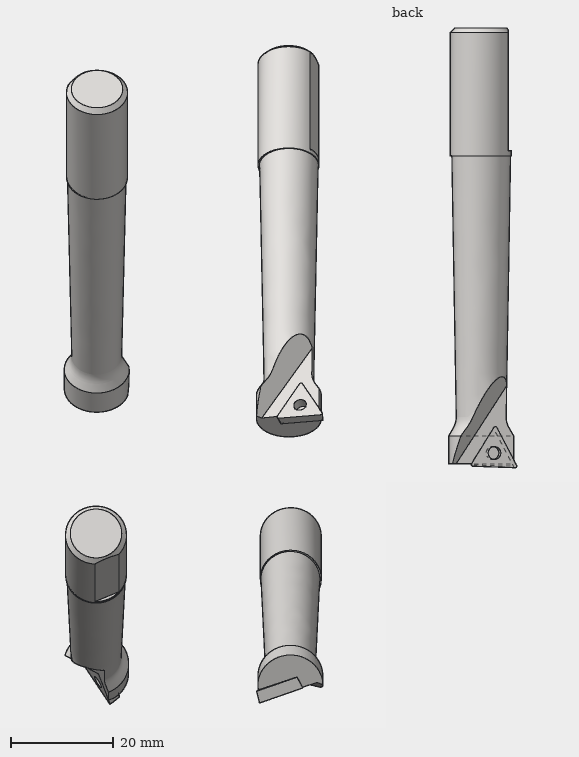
import cadquery as cq
import math

total_height = 86.05
shank_radius = 12.0 / 2
shank_bottom = 61.0
shank_chamfer = 0.95
flat_offset = 5.4
flat_bottom = 62.0

head_offset = -0.1
neck_top_radius = 5.8
neck_bottom_radius = 4.9
neck_bottom = 9.9
flare_height = 2.1
flare_angle = math.radians(30)
head_radius = 6.4
head_bottom = 0.8

tip_x = -7.05
wall_angle = math.radians(9.5)
floor_direction = math.radians(144)
floor_slope = 0.46
floor_axis_height = 6.7
cutter_size = 68.8

insert_inscribed_radius = 2.75
insert_thickness = 2.4
insert_nose_radius = 0.35
insert_clearance = 7.0
insert_hole_diameter = 2.5
insert_lead = 2.0

rake_plane = cq.Plane(
    origin=(tip_x, 0, 0),
    xDir=(math.cos(wall_angle), math.sin(wall_angle), 0),
    normal=(math.sin(wall_angle), -math.cos(wall_angle), 0),
)

nose_distance = 2 * (insert_inscribed_radius - insert_nose_radius)
tip_direction = math.radians(30 + insert_lead)
insert_center = (
    insert_nose_radius + nose_distance * math.cos(tip_direction),
    insert_nose_radius + nose_distance * math.sin(tip_direction),
)


def make_shank():
    shank = (
        cq.Workplane("XY", origin=(0, 0, shank_bottom))
        .circle(shank_radius)
        .extrude(total_height - shank_bottom)
        .faces(">Z")
        .chamfer(shank_chamfer)
    )
    flat_cutter = cq.Workplane("XY").box(
        shank_radius, 2 * shank_radius, total_height, centered=(False, True, False)
    )
    return shank.cut(flat_cutter.translate((-flat_offset - shank_radius, 0, flat_bottom)))


def make_neck_and_head():
    """Revolve the taper, the concave flare, the cone and the head."""
    flare_radius = flare_height / math.sin(flare_angle)
    half_angle = flare_angle / 2
    flare_middle = (
        neck_bottom_radius + flare_radius * (1 - math.cos(half_angle)),
        neck_bottom - flare_radius * math.sin(half_angle),
    )
    cone_top_radius = neck_bottom_radius + flare_radius * (1 - math.cos(flare_angle))
    cone_top = neck_bottom - flare_height
    head_top = cone_top - (head_radius - cone_top_radius) / math.tan(flare_angle)
    profile = (
        cq.Workplane("XZ")
        .moveTo(0, shank_bottom)
        .lineTo(neck_top_radius, shank_bottom)
        .lineTo(neck_bottom_radius, neck_bottom)
        .threePointArc(flare_middle, (cone_top_radius, cone_top))
        .lineTo(head_radius, head_top)
        .lineTo(head_radius, head_bottom)
        .lineTo(0, head_bottom)
        .close()
    )
    return profile.revolve(360, (0, 0), (0, 1)).translate((head_offset, 0, 0))


def make_flute_cutter():
    """The space in front of the rake wall and above the sloping floor."""
    floor_plane = cq.Plane(
        origin=(0, 0, floor_axis_height),
        normal=(math.cos(floor_direction), math.sin(floor_direction), -floor_slope),
    )
    beyond_floor = cq.Workplane(floor_plane).rect(cutter_size, cutter_size).extrude(cutter_size)
    beyond_wall = cq.Workplane(rake_plane).rect(cutter_size, cutter_size).extrude(-cutter_size)
    return beyond_floor.intersect(beyond_wall)


def make_insert_blank():
    """Rounded triangle that narrows away from its rake face."""
    nose_centers = []
    for corner in range(3):
        angle = tip_direction + math.pi + corner * math.tau / 3
        nose_centers.append((
            insert_center[0] + nose_distance * math.cos(angle),
            insert_center[1] + nose_distance * math.sin(angle),
        ))
    return (
        cq.Workplane(rake_plane)
        .polyline(nose_centers)
        .close()
        .offset2D(insert_nose_radius)
        .extrude(insert_thickness, taper=insert_clearance)
    )


def make_insert(blank):
    hole = (
        cq.Workplane(rake_plane)
        .center(*insert_center)
        .circle(insert_hole_diameter / 2)
        .extrude(insert_thickness)
    )
    return blank.cut(hole)


insert_blank = make_insert_blank()
holder = make_shank().union(make_neck_and_head()).cut(make_flute_cutter()).cut(insert_blank)
insert = make_insert(insert_blank)

result = cq.Compound.makeCompound([holder.solids().val(), insert.solids().val()])